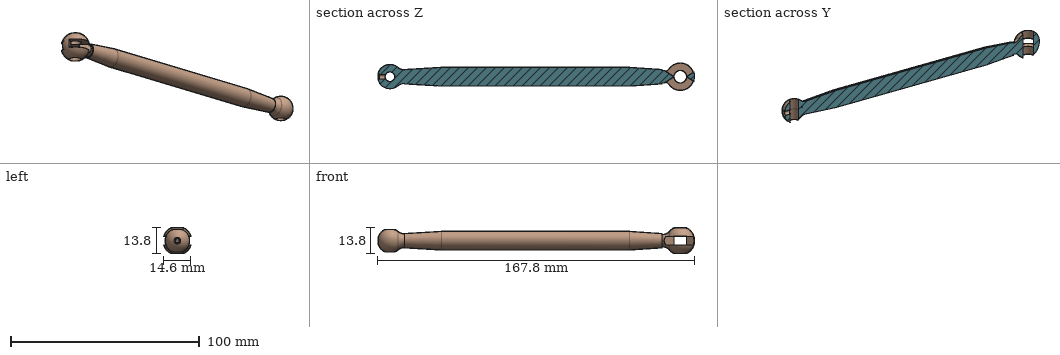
import cadquery as cq
import math

LENGTH = 167.8
SHAFT_RADIUS = 5.0
TAPER_END_RADIUS = 3.9

BALL_RADIUS = 6.5
BALL_HOLE_DIAMETER = 5.0
TIP_HOLE_DIAMETER = 2.2
TIP_RIM_DIAMETER = 3.5
BALL_NECK_RADIUS = 3.7
BALL_NECK_FILLET = 5.4
BALL_TAPER_START = 7.7
BALL_TAPER_END = 27.3

FORK_RADIUS = 7.63
FORK_HOLE_DIAMETER = 6.5
FORK_NECK_RADIUS = 3.4
FORK_NECK_FILLET = 4.5
FORK_TAPER_START = 9.7
FORK_TAPER_END = 27.0
SLOT_HEIGHT = 4.5
SLOT_FLARE_ANGLE = 33.0

ball_tip = math.sqrt(BALL_RADIUS**2 - (TIP_RIM_DIAMETER / 2) ** 2)
fork_x = LENGTH - ball_tip - FORK_RADIUS


def neck_points(ball_radius, neck_radius, fillet):
    """Ball tangent, fillet middle and neck tangent points, as (distance, radius) from the ball."""
    center_r = neck_radius + fillet
    center_d = math.sqrt((ball_radius + fillet) ** 2 - center_r**2)
    ball_share = ball_radius / (ball_radius + fillet)
    ball_tangent = (center_d * ball_share, center_r * ball_share)
    tangent_angle = math.atan2(-center_r, -center_d)
    middle_angle = (tangent_angle - math.pi / 2) / 2
    middle = (
        center_d + fillet * math.cos(middle_angle),
        center_r + fillet * math.sin(middle_angle),
    )
    return ball_tangent, middle, (center_d, neck_radius)


def ball_crown(ball_radius, tangent):
    """Point on the ball halfway round from its pole to the neck tangent point."""
    angle = (math.pi + math.atan2(tangent[1], tangent[0])) / 2
    return (ball_radius * math.cos(angle), ball_radius * math.sin(angle))


def from_fork(point):
    """Place a (distance, radius) point measured back from the fork centre."""
    return (fork_x - point[0], point[1])


def make_body():
    """Shaft, tapers, necks and both balls as one revolved profile."""
    ball_tangent, ball_middle, ball_neck = neck_points(BALL_RADIUS, BALL_NECK_RADIUS, BALL_NECK_FILLET)
    fork_tangent, fork_middle, fork_neck = neck_points(FORK_RADIUS, FORK_NECK_RADIUS, FORK_NECK_FILLET)
    return (
        cq.Workplane("XY")
        .moveTo(-BALL_RADIUS, 0)
        .threePointArc(ball_crown(BALL_RADIUS, ball_tangent), ball_tangent)
        .threePointArc(ball_middle, ball_neck)
        .lineTo(BALL_TAPER_START, BALL_NECK_RADIUS)
        .lineTo(BALL_TAPER_START, TAPER_END_RADIUS)
        .lineTo(BALL_TAPER_END, SHAFT_RADIUS)
        .lineTo(fork_x - FORK_TAPER_END, SHAFT_RADIUS)
        .lineTo(fork_x - FORK_TAPER_START, TAPER_END_RADIUS)
        .lineTo(fork_x - FORK_TAPER_START, FORK_NECK_RADIUS)
        .lineTo(*from_fork(fork_neck))
        .threePointArc(from_fork(fork_middle), from_fork(fork_tangent))
        .threePointArc(from_fork(ball_crown(FORK_RADIUS, fork_tangent)), (fork_x + FORK_RADIUS, 0))
        .close()
        .revolve(360, (0, 0, 0), (1, 0, 0))
    )


def vertical_hole(x, diameter):
    """Cutter for a through hole along Z."""
    return cq.Workplane("XY").center(x, 0).circle(diameter / 2).extrude(2 * FORK_RADIUS, both=True)


def tip_hole():
    """Cutter for the countersunk axial hole from the small ball's tip into its vertical hole."""
    hole_radius = TIP_HOLE_DIAMETER / 2
    rim_radius = TIP_RIM_DIAMETER / 2
    rim_x = -ball_tip
    outer_x = -BALL_RADIUS
    sink_x = rim_x + rim_radius - hole_radius
    return (
        cq.Workplane("XY")
        .polyline([(outer_x, 0), (outer_x, rim_radius), (rim_x, rim_radius),
                   (sink_x, hole_radius), (0, hole_radius), (0, 0)])
        .close()
        .revolve(360, (0, 0, 0), (1, 0, 0))
    )


def fork_slot():
    """Cutter for the slot along Y, as wide as the fork hole at mid-plane and flaring both ways."""
    depth = 2 * FORK_RADIUS
    throat = FORK_HOLE_DIAMETER / 2
    mouth = throat + depth / math.tan(math.radians(SLOT_FLARE_ANGLE))
    outline = [(-mouth, -depth), (mouth, -depth), (throat, 0), (mouth, depth), (-mouth, depth), (-throat, 0)]
    return (
        cq.Workplane("XY")
        .center(fork_x, 0)
        .polyline(outline)
        .close()
        .extrude(SLOT_HEIGHT / 2, both=True)
    )


result = (
    make_body()
    .cut(vertical_hole(0, BALL_HOLE_DIAMETER))
    .cut(tip_hole())
    .cut(vertical_hole(fork_x, FORK_HOLE_DIAMETER))
    .cut(fork_slot())
)